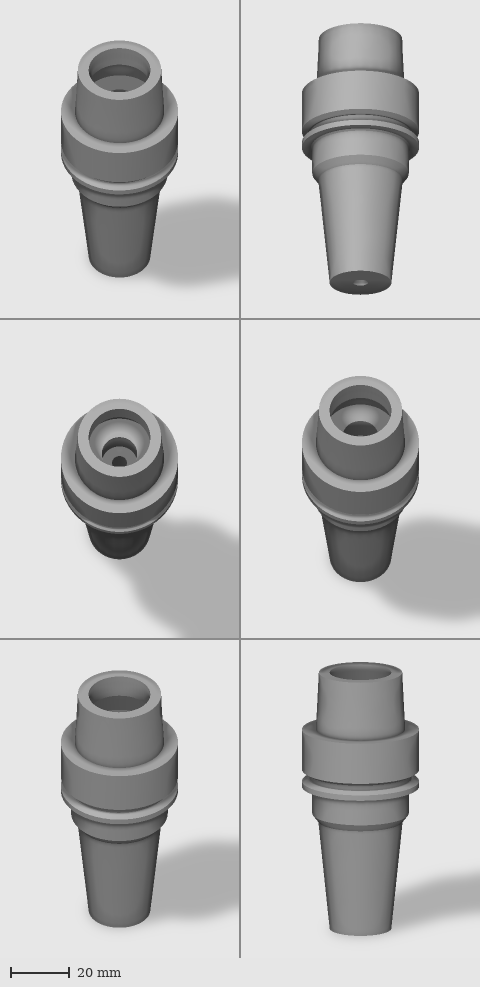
import cadquery as cq

total_height = 90.0
flange_top = 70.0
flange_bottom = 49.95
groove_top = 55.9
groove_bottom = 51.8
groove_chamfer_height = 1.1
relief_height = 0.6
collar_bottom = 40.4
nose_top = 37.8

flange_radius = 20.0
groove_lip_radius = 18.1
groove_floor_radius = 17.5
relief_radius = 16.9
collar_radius = 16.5
nose_top_radius = 14.4
nose_tip_radius = 10.5
shank_base_radius = 15.2
shank_top_radius = 14.2

mouth_radius = 10.5
mouth_depth = 8.0
chamber_radius = 12.8
chamber_floor_depth = 15.5
counterbore_radius = 6.0
counterbore_depth = 9.0
through_radius = 2.5


def make_body():
    """Revolve the solid outline: nose, collar, grooved flange and tapered shank."""
    outline = [
        (0, 0),
        (nose_tip_radius, 0),
        (nose_top_radius, nose_top),
        (collar_radius, collar_bottom),
        (collar_radius, flange_bottom - relief_height),
        (relief_radius, flange_bottom),
        (flange_radius, flange_bottom),
        (flange_radius, groove_bottom),
        (groove_lip_radius, groove_bottom + groove_chamfer_height),
        (groove_floor_radius, groove_bottom + groove_chamfer_height),
        (groove_floor_radius, groove_top - groove_chamfer_height),
        (groove_lip_radius, groove_top - groove_chamfer_height),
        (flange_radius, groove_top),
        (flange_radius, flange_top),
        (shank_base_radius, flange_top),
        (shank_top_radius, total_height),
        (0, total_height),
    ]
    return cq.Workplane("XZ").polyline(outline).close().revolve(360, (0, 0), (0, 1))


def make_bore_section(radius, bottom, top):
    """Cylinder on the Z axis between two heights."""
    return cq.Workplane("XY").workplane(offset=bottom).circle(radius).extrude(top - bottom)


chamber_roof = total_height - mouth_depth
chamber_floor = total_height - chamber_floor_depth
counterbore_floor = chamber_floor - counterbore_depth

result = make_body()
result = result.cut(make_bore_section(mouth_radius, chamber_roof, total_height))
result = result.cut(make_bore_section(chamber_radius, chamber_floor, chamber_roof))
result = result.cut(make_bore_section(counterbore_radius, counterbore_floor, chamber_floor))
result = result.cut(make_bore_section(through_radius, 0, counterbore_floor))